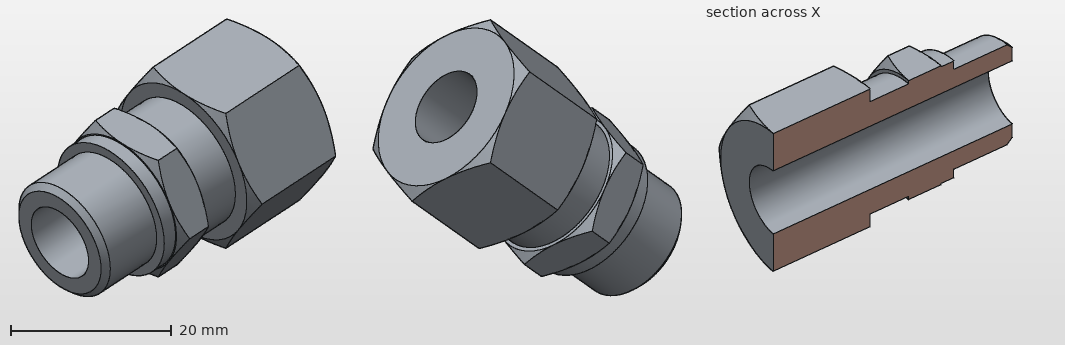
import cadquery as cq
import math

total_length = 36.9
nut_flats = 22.0
nut_length = 14.98
body_hex_flats = 19.0
body_hex_length = 5.0
neck_diameter = 18.0
collar_diameter = 18.67
collar_length = 2.0
spigot_diameter = 16.0
spigot_length = 9.0
spigot_chamfer = 0.8
bore_diameter = 10.0
hex_chamfer_angle = 30.0

collar_start = spigot_length
body_hex_start = collar_start + collar_length
neck_start = body_hex_start + body_hex_length
nut_start = total_length - nut_length
neck_length = nut_start - neck_start


def cylinder(start, length, diameter):
    """Round section along +Y."""
    return cq.Workplane("XZ", origin=(0, start, 0)).circle(diameter / 2).extrude(-length)


def chamfered_hex(start, length, flats):
    """Hexagon with corners on X, both ends turned conically down to the flats' inscribed circle."""
    flat_radius = flats / 2
    corner_radius = flat_radius / math.cos(math.radians(30))
    corner_drop = (corner_radius - flat_radius) * math.tan(math.radians(hex_chamfer_angle))
    end = start + length
    prism = cq.Workplane("XZ", origin=(0, start, 0)).polygon(6, 2 * corner_radius).extrude(-length)
    turned_envelope = (
        cq.Workplane("XY")
        .moveTo(0, start)
        .lineTo(flat_radius, start)
        .lineTo(corner_radius, start + corner_drop)
        .lineTo(corner_radius, end - corner_drop)
        .lineTo(flat_radius, end)
        .lineTo(0, end)
        .close()
        .revolve(360, (0, 0, 0), (0, 1, 0))
    )
    return prism.intersect(turned_envelope)


spigot = cylinder(0, spigot_length, spigot_diameter).faces("<Y").chamfer(spigot_chamfer)
collar = cylinder(collar_start, collar_length, collar_diameter)
body_hex = chamfered_hex(body_hex_start, body_hex_length, body_hex_flats)
neck = cylinder(neck_start, neck_length, neck_diameter)
nut = chamfered_hex(nut_start, nut_length, nut_flats)

bore = cylinder(0, total_length, bore_diameter)

result = spigot.union(collar).union(body_hex).union(neck).union(nut).cut(bore)